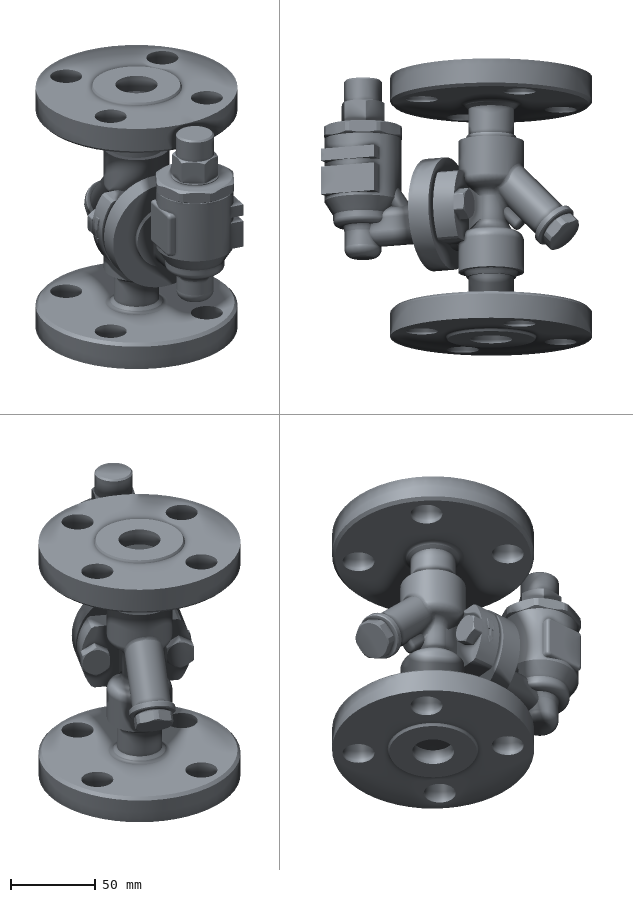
import cadquery as cq
import math

HALF_HEIGHT = 80.0

FLANGE_RADIUS = 60.0
FLANGE_INNER_Z = 62.0
FLANGE_CHAMFER = 1.8
FACE_RADIUS = 26.0
FACE_ROOT_RADIUS = 27.0
FACE_HEIGHT = 1.6
HUB_RADIUS = 15.6
HUB_CONE_Z = 60.8
HUB_ROOT_RADIUS = 18.4
HUB_END_Z = 59.0
BOLT_CIRCLE_RADIUS = 44.5
BOLT_HOLE_DIAMETER = 19.0
BORE_DIAMETER = 25.0
BORE_DEPTH = 10.0

PIPE_RADIUS = 13.5
BODY_RADIUS = 19.5
BODY_END_Z = 39.5
SHOULDER_TOP_Z = 42.7
SHOULDER_TOP_RADIUS = 14.6
SHOULDER_ROOT_RADIUS = 16.2
UPPER_BODY_BOTTOM_Z = 16.8
LOWER_BODY_TOP_Z = -20.8
WAIST_RADIUS = 10.5
WAIST_BLEND = 6.0

STRAINER_AXIS_Z = 26.8
STRAINER_RADIUS = 11.6
STRAINER_LENGTH = 55.6
STRAINER_FILLET = 2.5
COLLAR_RADIUS = 13.9
COLLAR_LENGTH = 4.0
COLLAR_CHAMFER = 0.6
PLUG_NECK_RADIUS = 10.0
PLUG_NECK_LENGTH = 0.8
PLUG_FLATS = 22.0
PLUG_CORNER_RADIUS = 11.9
PLUG_LENGTH = 6.7
RIB_RADIUS = 3.8
RIB_OFFSET = 14.8
RIB_START = 18.0
RIB_END = 41.5

CONNECTOR_Z = -2.0
BLOCK_START_X = 10.0
BLOCK_END_X = 23.3
DISC_RADIUS = 33.5
BLOCK_HEIGHT = 41.0
BLOCK_CORNER_CHAMFER = 1.2
BLOCK_PAD_RADIUS = 22.5
BLOCK_PAD_START_X = 18.3
GASKET_RADIUS = 19.0
DISC_START_X = 26.4
DISC_END_X = 39.4
BOSS_END_X = 42.6
SIDE_NECK_WIDTH = 20.8
SIDE_NECK_HEIGHT = 14.6
SIDE_NECK_FLARE_START_X = 3.3
SIDE_NECK_FLARE_HEIGHT = 26.0
BOLT_SPACING = 51.0
BOLT_FLATS = 16.4
BOLT_HEAD_START_X = 3.3
BOLT_HEAD_CHAMFER_RADIUS = 9.3
ARROW_HEIGHT = 0.8

ARM_WIDTH = 15.8
ARM_HEIGHT = 24.0
ARM_Z = -6.6
ARM_FILLET = 1.3
DUCT_RADIUS = 5.25
DUCT_START = (54.5, -0.6)
DUCT_END = (68.0, 18.8)

TRAP_X = 82.6
TRAP_TOP_Z = 82.5
CAP_RADIUS = 11.3
CAP_CHAMFER = 1.0
TRAP_HEX_TOP_Z = 69.0
TRAP_HEX_FLATS = 24.0
TRAP_HEX_CLIP_RADIUS = 13.8
PLATE_TOP_Z = 54.6
PLATE_BOTTOM_Z = 46.8
PLATE_CORNER_RADIUS = 24.9
PLATE_CLIP_RADIUS = 24.4
PLATE_FACE_RADIUS = 22.2
WASHER_RADIUS = 14.0
WASHER_HEIGHT = 0.6
TRAP_RADIUS = 23.0
CONE_TOP_Z = 9.3
CONE_END_RADIUS = 17.7
CONE_END_Z = 1.0
BOWL_FLAT_Z = -2.4
BOWL_BLEND = 3.4
SUMP_RADIUS = 11.0
SUMP_NECK_RADIUS = 11.7
SUMP_NECK_Z = -9.5
SUMP_ROUND_Z = -18.4
SUMP_BOTTOM_Z = -24.6
SUMP_BOTTOM_RADIUS = 7.0

PAD_BOTTOM_Z = 11.0
PAD_TOP_Z = 38.5
FRONT_PAD_WIDTH = 26.7
FRONT_PAD_Y = -23.4
FRONT_PAD_CORNER = 2.6
FRONT_PAD_EDGE = 1.9
REAR_PAD_WIDTH = 34.3
REAR_PAD_Y = 23.8
REAR_GAP_BOTTOM_Z = 27.7
REAR_GAP_TOP_Z = 31.3
PAD_ROOT = 12.0


def rod_x(radius, start_x, end_x):
    """Cylinder along X, centred on the connector axis."""
    plane = cq.Workplane("YZ", origin=(start_x, 0, CONNECTOR_Z))
    return plane.circle(radius).extrude(end_x - start_x)


def cone_clip(flat_radius, max_radius, height, both_ends):
    """Solid of revolution about Z that breaks the corners of a polygon head."""
    drop = (max_radius - flat_radius) * math.tan(math.radians(30))
    clip = cq.Workplane("XZ").moveTo(0, 0)
    if both_ends:
        clip = clip.lineTo(flat_radius, 0).lineTo(max_radius, drop)
    else:
        clip = clip.lineTo(max_radius, 0)
    clip = clip.lineTo(max_radius, height - drop).lineTo(flat_radius, height).lineTo(0, height)
    return clip.close().revolve(360, (0, 0, 0), (0, 1, 0))


def hexagon(flats, length):
    """Hexagonal prism along Z with a corner toward +X."""
    return cq.Workplane("XY").polygon(6, flats / math.cos(math.pi / 6)).extrude(length)


def pipe_flange():
    """Upper pipe flange with raised face, hub and bolt holes."""
    flank = math.sqrt(0.5)
    hub_mid = (
        HUB_RADIUS + (HUB_ROOT_RADIUS - HUB_RADIUS) * (1 - flank),
        HUB_CONE_Z + (FLANGE_INNER_Z - HUB_CONE_Z) * flank,
    )
    face_root_z = HALF_HEIGHT - FACE_HEIGHT
    flange = (
        cq.Workplane("XZ")
        .moveTo(0, HUB_END_Z)
        .lineTo(PIPE_RADIUS, HUB_END_Z)
        .lineTo(HUB_RADIUS, HUB_CONE_Z)
        .threePointArc(hub_mid, (HUB_ROOT_RADIUS, FLANGE_INNER_Z))
        .lineTo(FLANGE_RADIUS - FLANGE_CHAMFER, FLANGE_INNER_Z)
        .lineTo(FLANGE_RADIUS, FLANGE_INNER_Z + FLANGE_CHAMFER)
        .lineTo(FLANGE_RADIUS, face_root_z)
        .lineTo(FACE_ROOT_RADIUS, face_root_z)
        .lineTo(FACE_RADIUS, HALF_HEIGHT)
        .lineTo(0, HALF_HEIGHT)
        .close()
        .revolve(360, (0, 0, 0), (0, 1, 0))
    )
    holes = (
        cq.Workplane("XY", origin=(0, 0, HUB_END_Z))
        .polarArray(BOLT_CIRCLE_RADIUS, 45, 360, 4)
        .circle(BOLT_HOLE_DIAMETER / 2)
        .extrude(HALF_HEIGHT - HUB_END_Z)
    )
    return flange.cut(holes)


def pipe_bores():
    """Blind bores in the two flange faces."""
    top_bore = (
        cq.Workplane("XY", origin=(0, 0, HALF_HEIGHT - BORE_DEPTH))
        .circle(BORE_DIAMETER / 2)
        .extrude(BORE_DEPTH)
    )
    return top_bore.union(top_bore.mirror("XY"))


def main_body():
    """Pipe, the two body barrels and the waist, which blends into both by tangent arcs."""
    barrel_blend_radius = BODY_RADIUS - WAIST_BLEND
    waist_blend_radius = WAIST_RADIUS + WAIST_BLEND
    centre_dr = waist_blend_radius - barrel_blend_radius
    centre_dz = math.sqrt((2 * WAIST_BLEND) ** 2 - centre_dr**2)
    tangent_r = (barrel_blend_radius + waist_blend_radius) / 2
    tangent_dz = centre_dz / 2
    half_turn = math.atan2(centre_dz, centre_dr) / 2
    bulge_r = WAIST_BLEND * math.cos(half_turn)
    bulge_z = WAIST_BLEND * math.sin(half_turn)
    low, high = LOWER_BODY_TOP_Z, UPPER_BODY_BOTTOM_Z
    return (
        cq.Workplane("XZ")
        .moveTo(0, -HUB_END_Z)
        .lineTo(PIPE_RADIUS, -HUB_END_Z)
        .lineTo(PIPE_RADIUS, -SHOULDER_TOP_Z)
        .lineTo(SHOULDER_TOP_RADIUS, -SHOULDER_TOP_Z)
        .lineTo(SHOULDER_ROOT_RADIUS, -BODY_END_Z)
        .lineTo(BODY_RADIUS, -BODY_END_Z)
        .lineTo(BODY_RADIUS, low)
        .threePointArc((barrel_blend_radius + bulge_r, low + bulge_z), (tangent_r, low + tangent_dz))
        .threePointArc(
            (waist_blend_radius - bulge_r, low + centre_dz - bulge_z), (WAIST_RADIUS, low + centre_dz)
        )
        .lineTo(WAIST_RADIUS, high - centre_dz)
        .threePointArc(
            (waist_blend_radius - bulge_r, high - centre_dz + bulge_z), (tangent_r, high - tangent_dz)
        )
        .threePointArc((barrel_blend_radius + bulge_r, high - bulge_z), (BODY_RADIUS, high))
        .lineTo(BODY_RADIUS, BODY_END_Z)
        .lineTo(SHOULDER_ROOT_RADIUS, BODY_END_Z)
        .lineTo(SHOULDER_TOP_RADIUS, SHOULDER_TOP_Z)
        .lineTo(PIPE_RADIUS, SHOULDER_TOP_Z)
        .lineTo(PIPE_RADIUS, HUB_END_Z)
        .lineTo(0, HUB_END_Z)
        .close()
        .revolve(360, (0, 0, 0), (0, 1, 0))
    )


def on_strainer_axis(part):
    """Move a part built along Z onto the strainer axis, with its +X turned up."""
    frame = cq.Plane(origin=(0, 0, STRAINER_AXIS_Z), xDir=(-1, 0, 1), normal=(-1, 0, -1))
    return cq.Workplane(part.val().moved(cq.Location(frame)))


def body_with_barrel():
    """Main body joined to the strainer barrel with a fillet along their curved seam."""
    barrel = cq.Workplane("XY").circle(STRAINER_RADIUS).extrude(STRAINER_LENGTH)
    joined = main_body().union(on_strainer_axis(barrel))
    return joined.edges("%BSPLINE").fillet(STRAINER_FILLET)


def strainer_fittings():
    """Collar and hexagon plug at the end of the barrel, and a round-edged rib below it."""
    collar_start = STRAINER_LENGTH
    collar_end = collar_start + COLLAR_LENGTH
    plug_start = collar_end + PLUG_NECK_LENGTH
    collar = (
        cq.Workplane("XY", origin=(0, 0, collar_start))
        .circle(COLLAR_RADIUS)
        .extrude(COLLAR_LENGTH)
        .edges()
        .chamfer(COLLAR_CHAMFER)
    )
    neck = (
        cq.Workplane("XY", origin=(0, 0, collar_start))
        .circle(PLUG_NECK_RADIUS)
        .extrude(plug_start - collar_start)
    )
    plug = hexagon(PLUG_FLATS, PLUG_LENGTH)
    plug = plug.intersect(cone_clip(PLUG_FLATS / 2, PLUG_CORNER_RADIUS, PLUG_LENGTH, True))
    plug = plug.translate((0, 0, plug_start))
    rib = (
        cq.Workplane("XY", origin=(-RIB_OFFSET / 2, 0, RIB_START))
        .slot2D(RIB_OFFSET + 2 * RIB_RADIUS, 2 * RIB_RADIUS)
        .extrude(RIB_END - RIB_START)
        .faces(">Z")
        .edges()
        .fillet(RIB_RADIUS / 2)
    )
    return [on_strainer_axis(part) for part in (collar, neck, plug, rib)]


def connector_block():
    """Disc with two flats and a round pad."""
    block = rod_x(DISC_RADIUS, BLOCK_START_X, BLOCK_END_X)
    flats = cq.Workplane("XY", origin=(0, 0, CONNECTOR_Z)).box(
        2 * BLOCK_END_X, 2 * DISC_RADIUS, BLOCK_HEIGHT
    )
    block = block.intersect(flats).edges("|X").chamfer(BLOCK_CORNER_CHAMFER)
    return block.union(rod_x(BLOCK_PAD_RADIUS, BLOCK_PAD_START_X, BLOCK_END_X))


def flow_arrow():
    """Raised arrow on the -Y edge of the block, pointing down."""
    tail_half, stem_half, head_half = 2.0, 0.6, 2.0
    tail_top, tail_bottom, head_top, tip = 8.0, 0.6, -4.6, -8.2
    centre_x = (BLOCK_START_X + BLOCK_END_X) / 2 - 0.2
    outline = [
        (-tail_half, tail_top),
        (tail_half, tail_top),
        (tail_half, tail_bottom),
        (stem_half, tail_bottom),
        (stem_half, head_top),
        (head_half, head_top),
        (0, tip),
        (-head_half, head_top),
        (-stem_half, head_top),
        (-stem_half, tail_bottom),
        (-tail_half, tail_bottom),
    ]
    prism = (
        cq.Workplane("XZ", origin=(centre_x, 0, CONNECTOR_Z))
        .polyline(outline)
        .close()
        .extrude(2 * DISC_RADIUS)
    )
    return prism.intersect(rod_x(DISC_RADIUS + ARROW_HEIGHT, BLOCK_START_X, BLOCK_END_X))


def bolt_head(side):
    """Hexagon bolt head with its corners up and down and its crown toward -X."""
    length = BLOCK_START_X - BOLT_HEAD_START_X
    head = hexagon(BOLT_FLATS, length)
    head = head.intersect(cone_clip(BOLT_FLATS / 2, BOLT_HEAD_CHAMFER_RADIUS, length, False))
    frame = cq.Plane(
        origin=(BLOCK_START_X, side * BOLT_SPACING / 2, CONNECTOR_Z), xDir=(0, 0, 1), normal=(-1, 0, 0)
    )
    return cq.Workplane(head.val().moved(cq.Location(frame)))


def side_neck():
    """Flat-sided neck from the waist to the block, widening in height toward the block."""
    half = SIDE_NECK_HEIGHT / 2
    flared_half = SIDE_NECK_FLARE_HEIGHT / 2
    return (
        cq.Workplane("XZ", origin=(0, SIDE_NECK_WIDTH / 2, CONNECTOR_Z))
        .moveTo(0, -half)
        .lineTo(SIDE_NECK_FLARE_START_X, -half)
        .lineTo(BLOCK_START_X, -flared_half)
        .lineTo(BLOCK_START_X, flared_half)
        .lineTo(SIDE_NECK_FLARE_START_X, half)
        .lineTo(0, half)
        .close()
        .extrude(SIDE_NECK_WIDTH)
    )


def side_connector():
    """Neck, bolted block, gasket and round disc of the side outlet."""
    connector = side_neck()
    connector = connector.union(connector_block()).union(flow_arrow())
    connector = connector.union(rod_x(GASKET_RADIUS, BLOCK_END_X, DISC_START_X))
    connector = connector.union(rod_x(DISC_RADIUS, DISC_START_X, DISC_END_X))
    for side in (-1, 1):
        connector = connector.union(bolt_head(side))
    return connector


def trap_arm():
    """Boss, flat-sided arm and the inclined duct that rises from it into the trap."""
    arm = (
        cq.Workplane("YZ", origin=(BOSS_END_X, 0, ARM_Z))
        .slot2D(ARM_HEIGHT, ARM_WIDTH, 90)
        .extrude(TRAP_X - BOSS_END_X)
    )
    run = DUCT_END[0] - DUCT_START[0]
    rise = DUCT_END[1] - DUCT_START[1]
    frame = cq.Plane(origin=(DUCT_START[0], 0, DUCT_START[1]), xDir=(0, 1, 0), normal=(run, 0, rise))
    duct = cq.Workplane(frame).circle(DUCT_RADIUS).extrude(math.hypot(run, rise))
    boss = rod_x(GASKET_RADIUS, DISC_END_X, BOSS_END_X)
    boss_face = boss.union(arm).faces(cq.NearestToPointSelector((BOSS_END_X, 0, GASKET_RADIUS)))
    root_edges = boss_face.val().innerWires()[0].Edges()
    arm = cq.Workplane(boss.union(arm).val().fillet(ARM_FILLET, root_edges))
    return arm.union(duct)


def trap_shell():
    """Turned parts of the trap: bowl, sump and top cap."""
    flank = math.sqrt(0.5)
    bowl_bottom_z = BOWL_FLAT_Z - BOWL_BLEND
    blend_r = CONE_END_RADIUS - BOWL_BLEND
    sump_round_r = SUMP_RADIUS - SUMP_BOTTOM_RADIUS
    sump_round_z = SUMP_ROUND_Z - SUMP_BOTTOM_Z
    sump_mid = (
        SUMP_BOTTOM_RADIUS + sump_round_r * flank,
        SUMP_ROUND_Z - sump_round_z * flank,
    )
    return (
        cq.Workplane("XZ")
        .moveTo(0, SUMP_BOTTOM_Z)
        .lineTo(SUMP_BOTTOM_RADIUS, SUMP_BOTTOM_Z)
        .threePointArc(sump_mid, (SUMP_RADIUS, SUMP_ROUND_Z))
        .lineTo(SUMP_RADIUS, SUMP_NECK_Z)
        .lineTo(SUMP_NECK_RADIUS, bowl_bottom_z)
        .lineTo(blend_r, bowl_bottom_z)
        .threePointArc(
            (blend_r + BOWL_BLEND * flank, BOWL_FLAT_Z - BOWL_BLEND * flank),
            (CONE_END_RADIUS, BOWL_FLAT_Z),
        )
        .lineTo(CONE_END_RADIUS, CONE_END_Z)
        .lineTo(TRAP_RADIUS, CONE_TOP_Z)
        .lineTo(TRAP_RADIUS, PLATE_BOTTOM_Z)
        .lineTo(CAP_RADIUS, PLATE_BOTTOM_Z)
        .lineTo(CAP_RADIUS, TRAP_TOP_Z - CAP_CHAMFER)
        .lineTo(CAP_RADIUS - CAP_CHAMFER, TRAP_TOP_Z)
        .lineTo(0, TRAP_TOP_Z)
        .close()
        .revolve(360, (0, 0, 0), (0, 1, 0))
    )


def polygon_head(sides, corner_radius, clip_radius, face_radius, bottom_z, top_z):
    """Polygon head with a corner toward +X and conically broken corners at both ends."""
    height = top_z - bottom_z
    head = cq.Workplane("XY").polygon(sides, 2 * corner_radius).extrude(height)
    head = head.intersect(cone_clip(face_radius, clip_radius, height, True))
    return head.translate((0, 0, bottom_z))


def label_pads():
    """Front label pad on the -Y side and the split rear pad on the +Y side of the trap."""
    height = PAD_TOP_Z - PAD_BOTTOM_Z
    middle_z = (PAD_TOP_Z + PAD_BOTTOM_Z) / 2
    front = (
        cq.Workplane("XZ", origin=(0, -PAD_ROOT, middle_z))
        .rect(FRONT_PAD_WIDTH, height)
        .extrude(-FRONT_PAD_Y - PAD_ROOT)
        .edges("|Y")
        .fillet(FRONT_PAD_CORNER)
        .faces("<Y")
        .edges()
        .fillet(FRONT_PAD_EDGE)
    )
    pads = front
    for bottom_z, top_z in ((PAD_BOTTOM_Z, REAR_GAP_BOTTOM_Z), (REAR_GAP_TOP_Z, PAD_TOP_Z)):
        rear = (
            cq.Workplane("XZ", origin=(0, REAR_PAD_Y, (bottom_z + top_z) / 2))
            .rect(REAR_PAD_WIDTH, top_z - bottom_z)
            .extrude(REAR_PAD_Y - PAD_ROOT)
        )
        pads = pads.union(rear)
    return pads


def steam_trap():
    """Trap shell with its hexagon, octagon plate, washer and label pads."""
    hex_corner = TRAP_HEX_FLATS / 2 / math.cos(math.pi / 6)
    trap = trap_shell()
    trap = trap.union(
        polygon_head(6, hex_corner, TRAP_HEX_CLIP_RADIUS, TRAP_HEX_FLATS / 2, PLATE_TOP_Z, TRAP_HEX_TOP_Z)
    )
    trap = trap.union(
        polygon_head(
            8, PLATE_CORNER_RADIUS, PLATE_CLIP_RADIUS, PLATE_FACE_RADIUS, PLATE_BOTTOM_Z, PLATE_TOP_Z
        )
    )
    washer = cq.Workplane("XY", origin=(0, 0, PLATE_TOP_Z)).circle(WASHER_RADIUS).extrude(WASHER_HEIGHT)
    trap = trap.union(washer)
    return trap.union(label_pads()).translate((TRAP_X, 0, 0))


top_flange = pipe_flange()
result = body_with_barrel().union(top_flange).union(top_flange.mirror("XY"))
for fitting in strainer_fittings():
    result = result.union(fitting)
result = result.union(side_connector())
result = result.union(trap_arm())
result = result.union(steam_trap())
result = result.cut(pipe_bores())